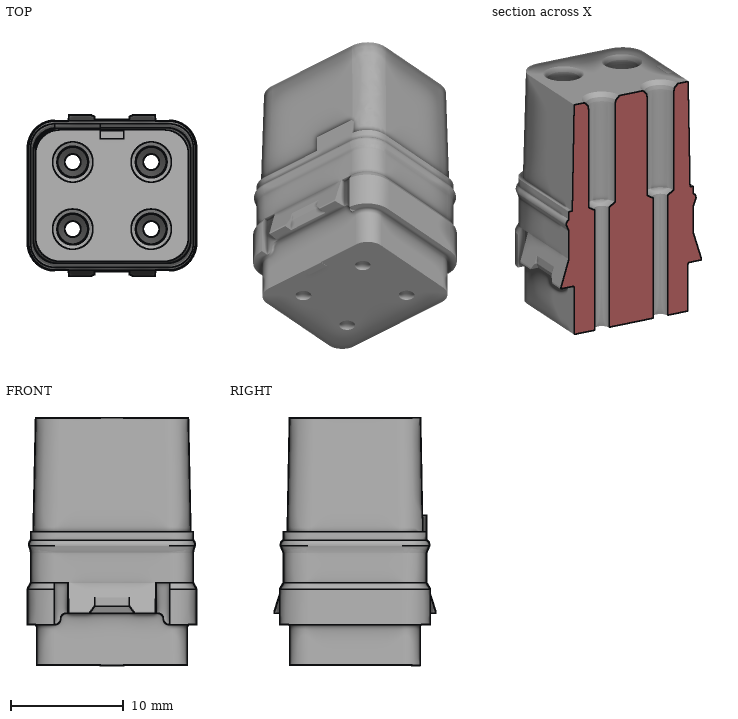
import cadquery as cq
import math

BODY_HEIGHT = 21.9
PAD_HEIGHT = 0.035
SKIRT_BOTTOM = 3.6
COLLAR_SHOULDER = 6.75
COLLAR_TOP = 7.3
SHOULDER_HEIGHT = 11.83
KEY_TOP = 13.3

LOWER_SECTION = (13.37, 11.56, 1.57)
SKIRT_SECTION = (14.4, 12.7, 2.1)
COLLAR_SECTION = (15.0, 13.36, 2.5)
TOWER_BASE_SECTION = (13.97, 12.0, 2.1)
TOWER_TOP_SECTION = (13.54, 11.62, 2.1)

COLLAR_GAP = 10.24
RELIEF_TOP = 4.6
RELIEF_HALF_WIDTH = 5.05
RECESS_FLOOR_Y = 5.96
UNDERCUT_FILLET = 0.16

LATCH_ROOT_WIDTH = 7.86
LATCH_TIP_WIDTH = 7.64
LATCH_SPAN = 14.3
LATCH_LIP = 0.15
NOTCH_HALF_WIDTH = 1.54
NOTCH_MOUTH_HALF_WIDTH = 2.0
NOTCH_SHOULDER = 5.24
NOTCH_TOP = 6.02
NOTCH_FLOOR_Y = 6.76

BEAD_TOP = 11.08
BEAD_CREST = 10.58
BEAD_BOTTOM = 9.93
BEAD_ARC_MID_HEIGHT = 10.88
BEAD_ARC_MID_SHARE = 0.8
HOLLOW_MID_SHARE = 0.3
SHORT_SIDE_BEAD = (0.16, 10.42, 0.1)
LONG_SIDE_BEAD = (0.25, 10.02, 0.02)

HOLE_PITCH_X = 6.95
HOLE_PITCH_Y = 5.94
MOUTH_DIAMETER = 3.57
THROAT_DIAMETER = 2.8
THROAT_DEPTH = 0.37
BORE_DIAMETER = 2.66
BORE_START_DEPTH = 0.74
PIN_DIAMETER = 1.4
BORE_END_HEIGHT = SHOULDER_HEIGHT
DRILL_HALF_ANGLE = 59.0

KEY_X_MIN = -5.07
KEY_X_MAX = -1.03
PAD_WIDTH = 2.06
PAD_DEPTH = 0.7
PAD_Y = 5.39

SELECTION_MARGIN = 0.01

EMBED = 0.5


def rounded_rectangle(section):
    size_x, size_y, radius = section
    return cq.Sketch().rect(size_x, size_y).vertices().fillet(radius)


def prism(section, bottom, top):
    base = cq.Workplane("XY", origin=(0, 0, bottom))
    return base.placeSketch(rounded_rectangle(section)).extrude(top - bottom)


def frustum(bottom_section, top_section, bottom, top):
    lower = rounded_rectangle(bottom_section)
    upper = rounded_rectangle(top_section).moved(cq.Location(cq.Vector(0, 0, top - bottom)))
    return cq.Workplane("XY", origin=(0, 0, bottom)).placeSketch(lower, upper).loft()


def block(x_range, y_range, z_range):
    lows, highs = zip(x_range, y_range, z_range)
    sizes = [high - low for low, high in zip(lows, highs)]
    return cq.Workplane("XY").box(*sizes, centered=False).translate(lows)


def make_collar():
    collar = prism(COLLAR_SECTION, SKIRT_BOTTOM, COLLAR_SHOULDER)
    collar = collar.union(frustum(COLLAR_SECTION, SKIRT_SECTION, COLLAR_SHOULDER, COLLAR_TOP))
    gap = cq.Workplane("XY").box(COLLAR_GAP, LATCH_SPAN, BODY_HEIGHT, centered=(True, True, False))
    return collar.cut(gap)


def make_side_relief():
    """Space under the raised middle of the skirt, with S-shaped ends."""
    rise = RELIEF_TOP - SKIRT_BOTTOM
    radius = rise / 2
    bend = radius * math.sqrt(0.5)
    outer = RELIEF_HALF_WIDTH
    middle_x = outer - radius
    inner = outer - rise
    middle_z = SKIRT_BOTTOM + radius
    return (
        cq.Workplane("XZ")
        .moveTo(-outer, SKIRT_BOTTOM)
        .threePointArc((-outer + bend, middle_z - bend), (-middle_x, middle_z))
        .threePointArc((-inner - bend, middle_z + bend), (-inner, RELIEF_TOP))
        .lineTo(inner, RELIEF_TOP)
        .threePointArc((inner + bend, middle_z + bend), (middle_x, middle_z))
        .threePointArc((outer - bend, middle_z - bend), (outer, SKIRT_BOTTOM))
        .close()
        .extrude(LATCH_SPAN / 2, both=True)
    )


def make_side_recess():
    """Recess in both long sides, from the collar down, that leaves the latch roots standing proud."""
    recess_floor = cq.Workplane("XY").box(COLLAR_GAP, 2 * RECESS_FLOOR_Y, BODY_HEIGHT)
    return (
        cq.Workplane("XY")
        .box(COLLAR_GAP, LATCH_SPAN, COLLAR_TOP, centered=(True, True, False))
        .cut(recess_floor)
    )


def make_lower_housing():
    """Skirt and lower body, filleted along the line where they meet."""
    skirt = prism(SKIRT_SECTION, SKIRT_BOTTOM, SHOULDER_HEIGHT).union(make_collar())
    lower = prism(LOWER_SECTION, 0, SHOULDER_HEIGHT)
    housing = skirt.cut(make_side_recess()).cut(make_side_relief()).union(lower)
    half_x = LOWER_SECTION[0] / 2
    half_y = LOWER_SECTION[1] / 2
    near_lower = cq.selectors.BoxSelector(
        (-half_x - SELECTION_MARGIN, -half_y - SELECTION_MARGIN, SKIRT_BOTTOM - SELECTION_MARGIN),
        (half_x + SELECTION_MARGIN, half_y + SELECTION_MARGIN, RELIEF_TOP + SELECTION_MARGIN),
        boundingbox=True,
    )
    return housing.edges(near_lower).fillet(UNDERCUT_FILLET)


def make_latch():
    """Wedge on the -Y side with a notch in the middle of its lower edge."""
    wall_y = -SKIRT_SECTION[1] / 2
    tip_y = -LATCH_SPAN / 2
    root_y = -RECESS_FLOOR_Y
    side_view = (
        cq.Workplane("YZ")
        .polyline([
            (root_y, COLLAR_TOP),
            (wall_y, COLLAR_TOP),
            (tip_y, RELIEF_TOP + LATCH_LIP),
            (tip_y, RELIEF_TOP),
            (root_y, RELIEF_TOP),
        ])
        .close()
        .extrude(LATCH_ROOT_WIDTH, both=True)
    )
    plan = (
        cq.Workplane("XY")
        .polyline([
            (-LATCH_ROOT_WIDTH / 2, root_y),
            (LATCH_ROOT_WIDTH / 2, root_y),
            (LATCH_TIP_WIDTH / 2, tip_y),
            (-LATCH_TIP_WIDTH / 2, tip_y),
        ])
        .close()
        .extrude(BODY_HEIGHT)
    )
    wedge = side_view.intersect(plan)
    notch_outline = (
        cq.Workplane("XZ")
        .polyline([
            (-NOTCH_HALF_WIDTH, NOTCH_TOP),
            (NOTCH_HALF_WIDTH, NOTCH_TOP),
            (NOTCH_HALF_WIDTH, NOTCH_SHOULDER),
            (NOTCH_MOUTH_HALF_WIDTH, RELIEF_TOP),
            (-NOTCH_MOUTH_HALF_WIDTH, RELIEF_TOP),
            (-NOTCH_HALF_WIDTH, NOTCH_SHOULDER),
        ])
        .close()
        .extrude(LATCH_SPAN)
    )
    notch_depth = (
        cq.Workplane("YZ")
        .polyline([
            (-LATCH_SPAN, NOTCH_TOP),
            (-NOTCH_FLOOR_Y, NOTCH_TOP),
            (-NOTCH_FLOOR_Y, NOTCH_SHOULDER),
            (wall_y, RELIEF_TOP),
            (-LATCH_SPAN, RELIEF_TOP),
        ])
        .close()
        .extrude(LATCH_ROOT_WIDTH, both=True)
    )
    return wedge.cut(notch_outline.intersect(notch_depth))


def bead_profile(plane, wall, crest_out, hollow_top, hollow_out):
    """Bead outline: rounded above the crest, then a slope, then a hollow fillet to the wall."""
    bulge = (wall + BEAD_ARC_MID_SHARE * crest_out, BEAD_ARC_MID_HEIGHT)
    hollow = (wall + HOLLOW_MID_SHARE * hollow_out, (hollow_top + BEAD_BOTTOM) / 2)
    return (
        plane.moveTo(wall - EMBED, BEAD_TOP)
        .lineTo(wall, BEAD_TOP)
        .threePointArc(bulge, (wall + crest_out, BEAD_CREST))
        .lineTo(wall + hollow_out, hollow_top)
        .threePointArc(hollow, (wall, BEAD_BOTTOM))
        .lineTo(wall - EMBED, BEAD_BOTTOM)
        .close()
    )


def make_bead_corner(radius):
    """Quarter turn from +X to +Y that blends the short-side outline into the long-side one."""
    path = cq.Workplane("XY").moveTo(radius, 0).radiusArc((0, radius), -radius)
    short_end = bead_profile(cq.Workplane("XZ"), radius, *SHORT_SIDE_BEAD)
    long_end = bead_profile(cq.Workplane("YZ"), radius, *LONG_SIDE_BEAD)
    sections = cq.Workplane("XY").add(short_end.val()).add(long_end.val()).toPending()
    return sections.sweep(path, multisection=True)


def make_bead():
    size_x, size_y, radius = SKIRT_SECTION
    corner_x = size_x / 2 - radius
    corner_y = size_y / 2 - radius
    long_profile = bead_profile(cq.Workplane("YZ"), size_y / 2, *LONG_SIDE_BEAD)
    short_profile = bead_profile(cq.Workplane("XZ"), size_x / 2, *SHORT_SIDE_BEAD)
    corner = make_bead_corner(radius).translate((corner_x, corner_y, 0))
    quarter = long_profile.extrude(corner_x).union(short_profile.extrude(-corner_y)).union(corner)
    half = quarter.union(quarter.mirror("YZ"))
    return half.union(half.mirror("XZ"))


def make_contact_hole():
    bore_radius = BORE_DIAMETER / 2
    pin_radius = PIN_DIAMETER / 2
    cone_depth = (bore_radius - pin_radius) / math.tan(math.radians(DRILL_HALF_ANGLE))
    return (
        cq.Workplane("XZ")
        .polyline([
            (0, 0),
            (pin_radius, 0),
            (pin_radius, BORE_END_HEIGHT - cone_depth),
            (bore_radius, BORE_END_HEIGHT),
            (bore_radius, BODY_HEIGHT - BORE_START_DEPTH),
            (THROAT_DIAMETER / 2, BODY_HEIGHT - THROAT_DEPTH),
            (MOUTH_DIAMETER / 2, BODY_HEIGHT),
            (0, BODY_HEIGHT),
        ])
        .close()
        .revolve(360, (0, 0), (0, 1))
    )


def make_key():
    outer_y = SKIRT_SECTION[1] / 2
    inner_y = TOWER_TOP_SECTION[1] / 2 - EMBED
    return block((KEY_X_MIN, KEY_X_MAX), (inner_y, outer_y), (SHOULDER_HEIGHT - EMBED, KEY_TOP))


def make_pad(bottom, top):
    x_range = (-PAD_WIDTH / 2, PAD_WIDTH / 2)
    y_range = (PAD_Y - PAD_DEPTH / 2, PAD_Y + PAD_DEPTH / 2)
    return block(x_range, y_range, (bottom, top))


result = make_lower_housing()
result = result.union(frustum(TOWER_BASE_SECTION, TOWER_TOP_SECTION, SHOULDER_HEIGHT, BODY_HEIGHT))
result = result.union(make_bead())

latch = make_latch()
result = result.union(latch).union(latch.mirror("XZ"))

result = result.union(make_key())
result = result.union(make_pad(BODY_HEIGHT - EMBED, BODY_HEIGHT + PAD_HEIGHT))
result = result.union(make_pad(-PAD_HEIGHT, EMBED))

contact_hole = make_contact_hole()
for hole_x in (-HOLE_PITCH_X / 2, HOLE_PITCH_X / 2):
    for hole_y in (-HOLE_PITCH_Y / 2, HOLE_PITCH_Y / 2):
        result = result.cut(contact_hole.translate((hole_x, hole_y, 0)))